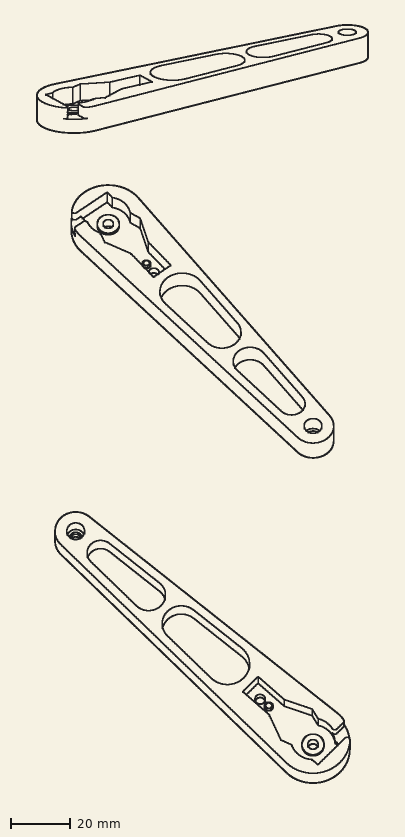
import cadquery as cq
import math

thickness = 9.0
big_end_radius = 12.5
small_end_radius = 7.0
end_spacing = 110.0
taper_sine = (big_end_radius - small_end_radius) / end_spacing
taper_cosine = math.sqrt(1 - taper_sine**2)

side_wall = 3.0
pocket_depth = 7.5
pocket_spans = [(32.2, 67.5), (70.5, 103.0)]

cavity_depth = 6.0
cavity_floor = thickness - cavity_depth
stem_half_width = 3.75
stem_top_y = 29.0
stem_bottom_y = 16.8
shoulder_half_width = 7.7
shoulder_y = 7.6
cavity_round_radius = 7.5
neck_half_width = 6.5
foot_half_width = 5.7
cavity_bottom_y = -7.65

notch_depth = 4.0
notch_top_y = -3.4
notch_corner_radius = 1.0

pivot_boss_diameter = 7.5
pivot_boss_height = 1.0
screw_hole_diameter = 3.5
screw_hole_y = 24.5
pin_y = 20.5
pin_diameter = 3.0
pin_height = 1.0
pin_chamfer = 0.5

axle_bore_diameter = 6.0
axle_bore_depth = 6.0
axle_hole_diameter = 3.0
axle_countersink_diameter = 4.0
axle_countersink_depth = 0.5


def tapered_slot(low_y, low_radius, high_y, high_radius, bottom_z, height):
    """Prism over two circles on the Y axis joined by the arm's taper."""
    low_x = low_radius * taper_cosine
    low_tangent_y = low_y + low_radius * taper_sine
    high_x = high_radius * taper_cosine
    high_tangent_y = high_y + high_radius * taper_sine
    return (
        cq.Workplane("XY", origin=(0, 0, bottom_z))
        .moveTo(low_x, low_tangent_y)
        .lineTo(high_x, high_tangent_y)
        .threePointArc((0, high_y + high_radius), (-high_x, high_tangent_y))
        .lineTo(-low_x, low_tangent_y)
        .threePointArc((0, low_y - low_radius), (low_x, low_tangent_y))
        .close()
        .extrude(height)
    )


def cylinder(y, diameter, bottom_z, height):
    return cq.Workplane("XY", origin=(0, y, bottom_z)).circle(diameter / 2).extrude(height)


def pocket(low_edge, high_edge):
    """Pocket whose sides stay one wall thickness inside the arm's sides."""
    base_radius = big_end_radius - side_wall
    low_y = (low_edge + base_radius) / (1 + taper_sine)
    high_y = (high_edge - base_radius) / (1 - taper_sine)
    return tapered_slot(
        low_y,
        low_y - low_edge,
        high_y,
        high_edge - high_y,
        thickness - pocket_depth,
        pocket_depth,
    )


def lever_cavity():
    neck_y = math.sqrt(cavity_round_radius**2 - neck_half_width**2)
    foot_y = -math.sqrt(cavity_round_radius**2 - foot_half_width**2)
    return (
        cq.Workplane("XY", origin=(0, 0, cavity_floor))
        .moveTo(-stem_half_width, stem_top_y)
        .lineTo(stem_half_width, stem_top_y)
        .lineTo(stem_half_width, stem_bottom_y)
        .lineTo(shoulder_half_width, shoulder_y)
        .lineTo(neck_half_width, neck_y)
        .threePointArc((cavity_round_radius, 0), (foot_half_width, foot_y))
        .lineTo(foot_half_width, cavity_bottom_y)
        .lineTo(-foot_half_width, cavity_bottom_y)
        .lineTo(-foot_half_width, foot_y)
        .threePointArc((-cavity_round_radius, 0), (-neck_half_width, neck_y))
        .lineTo(-shoulder_half_width, shoulder_y)
        .lineTo(-stem_half_width, stem_bottom_y)
        .close()
        .extrude(cavity_depth)
    )


def side_notch():
    width = notch_top_y - cavity_bottom_y
    return (
        cq.Workplane("XY", origin=(0, cavity_bottom_y, thickness - notch_depth))
        .rect(big_end_radius, width, centered=False)
        .extrude(notch_depth)
    )


def upright_edge_at(x, y):
    """Selector for the upright notch edge at (x, y)."""
    reach = 0.1
    mid_z = thickness - notch_depth / 2
    return cq.selectors.BoxSelector(
        (x - reach, y - reach, mid_z - reach),
        (x + reach, y + reach, mid_z + reach),
    )


def chamfered_pin():
    pin = cylinder(pin_y, pin_diameter, cavity_floor, pin_height)
    return pin.faces(">Z").chamfer(pin_chamfer)


def axle_hole():
    """Through hole with a wide bore from above and a countersink at the bore floor."""
    bore_floor = thickness - axle_bore_depth
    hole = cylinder(end_spacing, axle_hole_diameter, 0, thickness)
    bore = cylinder(end_spacing, axle_bore_diameter, bore_floor, axle_bore_depth)
    countersink = (
        cq.Workplane("XY", origin=(0, end_spacing, bore_floor - axle_countersink_depth))
        .circle(axle_hole_diameter / 2)
        .workplane(offset=axle_countersink_depth)
        .circle(axle_countersink_diameter / 2)
        .loft()
    )
    return hole.union(bore).union(countersink)


def round_notch_corners(body):
    """Round the upright edges where the notch meets the cavity and the outer wall."""
    for wall_radius, y in (
        (cavity_round_radius, notch_top_y),
        (big_end_radius, notch_top_y),
        (big_end_radius, cavity_bottom_y),
    ):
        x = math.sqrt(wall_radius**2 - y**2)
        body = body.edges(upright_edge_at(x, y)).fillet(notch_corner_radius)
    return body


result = tapered_slot(0, big_end_radius, end_spacing, small_end_radius, 0, thickness)
for low_edge, high_edge in pocket_spans:
    result = result.cut(pocket(low_edge, high_edge))
result = result.cut(lever_cavity()).cut(side_notch())
result = round_notch_corners(result)
result = result.union(cylinder(0, pivot_boss_diameter, cavity_floor, pivot_boss_height))
result = result.union(chamfered_pin())
for hole_y in (0, screw_hole_y):
    result = result.cut(cylinder(hole_y, screw_hole_diameter, 0, thickness))
result = result.cut(axle_hole())